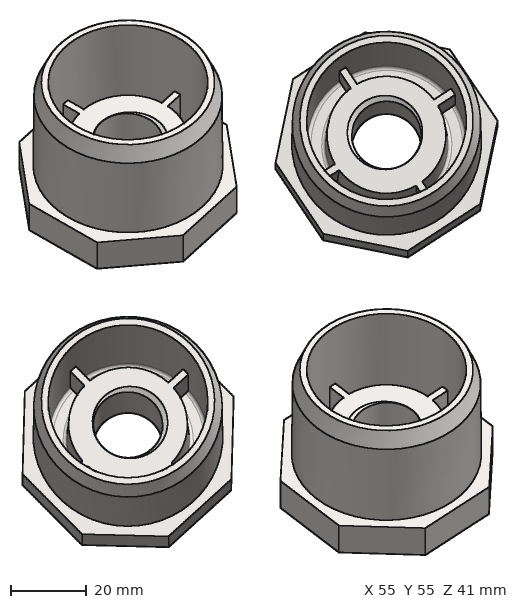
import cadquery as cq
import math

across_flats = 55.0
flange_height = 10.0
octagon_sides = 8

total_height = 41.0
spigot_base_radius = 25.0
spigot_top_radius = 24.8
lead_in_height = 5.0
lead_in_width = 2.0

socket_radius = 21.0
groove_floor_z = 5.0
groove_fillet = 1.0

boss_top_z = 20.0
boss_top_radius = 15.65
boss_draft = math.radians(2.0)
boss_foot_radius = boss_top_radius + (boss_top_z - groove_floor_z) * math.tan(boss_draft)

rib_width = 2.0
rib_count = 4

bore_radius = 9.1
countersink_radius = 9.9
countersink_offset = 0.75
countersink_slope = math.radians(30.0)


def flange():
    across_corners = across_flats / math.cos(math.pi / octagon_sides)
    octagon = cq.Workplane("XY").polygon(octagon_sides, across_corners).extrude(flange_height)
    half_side_angle = 180.0 / octagon_sides
    return octagon.rotate((0, 0, 0), (0, 0, 1), half_side_angle)


def spigot():
    """Slightly tapered outer body with a conical lead-in at the top."""
    profile = (
        cq.Workplane("XZ")
        .lineTo(spigot_base_radius, 0)
        .lineTo(spigot_base_radius, flange_height)
        .lineTo(spigot_top_radius, total_height - lead_in_height)
        .lineTo(spigot_top_radius - lead_in_width, total_height)
        .lineTo(0, total_height)
        .close()
    )
    return profile.revolve(360, (0, 0, 0), (0, 1, 0))


def groove():
    """Ring-shaped cavity between boss and socket wall, with a rounded floor."""
    profile = (
        cq.Workplane("XZ")
        .moveTo(boss_foot_radius, groove_floor_z)
        .lineTo(socket_radius, groove_floor_z)
        .lineTo(socket_radius, boss_top_z)
        .lineTo(boss_top_radius, boss_top_z)
        .close()
    )
    ring = profile.revolve(360, (0, 0, 0), (0, 1, 0))
    return ring.faces("<Z").edges().fillet(groove_fillet)


def socket():
    depth = total_height - boss_top_z
    return cq.Workplane("XY").workplane(offset=boss_top_z).circle(socket_radius).extrude(depth)


def ribs():
    """Radial bars, flush with the boss top, standing on the groove floor."""
    inner_radius = (countersink_radius + boss_top_radius) / 2
    length = socket_radius - inner_radius
    height = boss_top_z - groove_floor_z
    rib = cq.Workplane("XY").box(length, rib_width, height, centered=(False, True, False))
    rib = rib.translate((inner_radius, 0, groove_floor_z))
    bars = cq.Workplane("XY")
    for index in range(rib_count):
        bars = bars.add(rib.rotate((0, 0, 0), (0, 0, 1), index * 360.0 / rib_count))
    return bars.combine()


def bore():
    return cq.Workplane("XY").circle(bore_radius).extrude(boss_top_z)


def countersink():
    """Shallow cone whose rim lies on the boss top."""
    cone_depth = countersink_radius * math.tan(countersink_slope)
    profile = (
        cq.Workplane("XZ")
        .moveTo(0, boss_top_z - cone_depth)
        .lineTo(countersink_radius, boss_top_z)
        .lineTo(0, boss_top_z)
        .close()
    )
    cone = profile.revolve(360, (0, 0, 0), (0, 1, 0))
    return cone.translate((countersink_offset, 0, 0))


body = flange().union(spigot())
body = body.cut(socket())
body = body.cut(groove().cut(ribs()))
body = body.cut(bore())
result = body.cut(countersink())